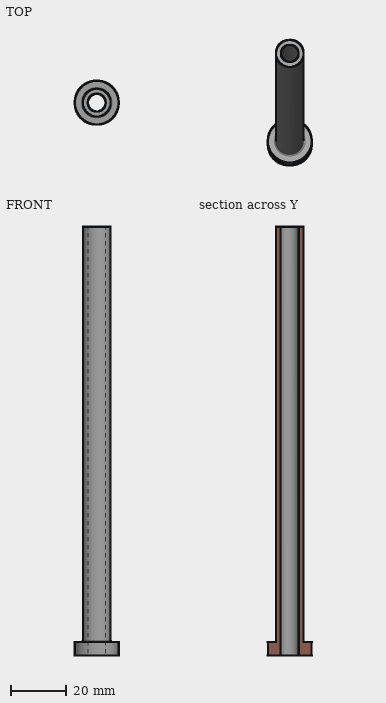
import cadquery as cq

total_length = 155.0
head_diameter = 16.0
head_height = 5.0
tube_diameter = 10.0
bore_diameter = 6.4
root_fillet = 0.5

tube_radius = tube_diameter / 2
head_radius = head_diameter / 2

head = cq.Workplane("XY").circle(head_radius).extrude(head_height)

body = head.faces(">Z").workplane().circle(tube_radius).extrude(total_length - head_height)

root_edge = cq.selectors.RadiusNthSelector(0)
body = body.faces(cq.selectors.NearestToPointSelector((head_radius, 0, head_height))).edges(root_edge)
body = body.fillet(root_fillet)

result = body.faces(">Z").workplane().hole(bore_diameter)